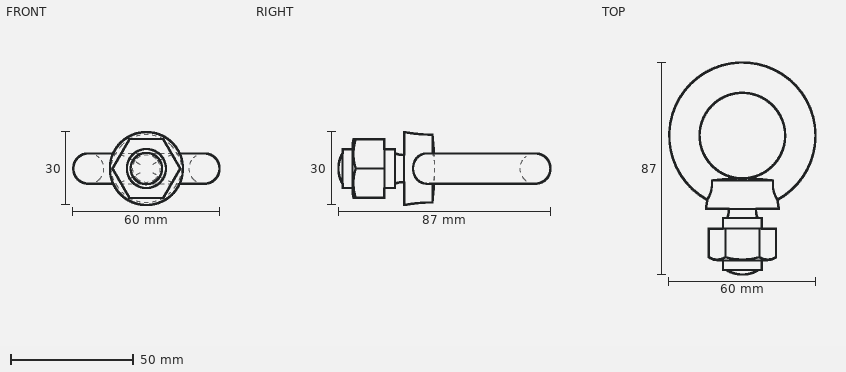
import cadquery as cq
import math


ring_outer_radius = 30.0
tube_radius = 6.3
ring_radius = ring_outer_radius - tube_radius

collar_base_y = -ring_outer_radius
collar_height = 11.7
collar_base_radius = 15.01
collar_top_radius = 13.9
collar_dome_height = 0.9

neck_radius = 5.65
neck_straight_length = 0.9
neck_flare_radius = 6.3
neck_length = 3.65

shank_radius = 8.0
tip_y = -57.0
tip_dome_radius = 6.4
tip_dome_height = 1.8

nut_across_flats = 24.0
nut_height = 13.0
nut_top_y = -38.1
nut_face_radius = 10.2
nut_round_end_radius = 12.5
nut_round_drop = 0.565


def cap_radius(half_chord, rise):
    """Radius of a circular arc that starts square to the axis and drops by rise over half_chord."""
    return (half_chord**2 + rise**2) / (2 * rise)


def cap_height(half_chord, rise, distance):
    """Height lost by that arc at the given distance from its flat end."""
    radius = cap_radius(half_chord, rise)
    return radius - math.sqrt(radius**2 - distance**2)


def revolve_about_y(profile):
    return profile.close().revolve(360, (0, 0, 0), (0, 1, 0))


def make_ring():
    return cq.Workplane(cq.Solid.makeTorus(ring_radius, tube_radius))


def make_collar():
    top_y = collar_base_y + collar_height
    flare = collar_base_radius - collar_top_radius
    side_mid = (
        collar_top_radius + cap_height(collar_height, flare, collar_height / 2),
        top_y - collar_height / 2,
    )
    dome_mid_x = collar_top_radius / 2
    dome_drop = cap_height(collar_top_radius, collar_dome_height, dome_mid_x)
    dome_top_y = top_y + collar_dome_height
    profile = (
        cq.Workplane("XY")
        .moveTo(0, collar_base_y)
        .lineTo(collar_base_radius, collar_base_y)
        .threePointArc(side_mid, (collar_top_radius, top_y))
        .threePointArc((dome_mid_x, dome_top_y - dome_drop), (0, dome_top_y))
    )
    return revolve_about_y(profile)


def make_shank():
    flare_start_y = collar_base_y - neck_straight_length
    shank_top_y = collar_base_y - neck_length
    flare_length = flare_start_y - shank_top_y
    flare_width = neck_flare_radius - neck_radius
    flare_mid = (
        neck_radius + cap_height(flare_length, flare_width, flare_length / 2),
        flare_start_y - flare_length / 2,
    )
    shank_end_y = tip_y + tip_dome_height
    tip_mid_x = tip_dome_radius / 2
    tip_rise = cap_height(tip_dome_radius, tip_dome_height, tip_mid_x)
    profile = (
        cq.Workplane("XY")
        .moveTo(0, collar_base_y)
        .lineTo(neck_radius, collar_base_y)
        .lineTo(neck_radius, flare_start_y)
        .threePointArc(flare_mid, (neck_flare_radius, shank_top_y))
        .lineTo(shank_radius, shank_top_y)
        .lineTo(shank_radius, shank_end_y)
        .lineTo(tip_dome_radius, shank_end_y)
        .threePointArc((tip_mid_x, tip_y + tip_rise), (0, tip_y))
    )
    return revolve_about_y(profile)


def make_nut():
    across_corners = nut_across_flats / math.cos(math.pi / 6)
    hexagon = (
        cq.Workplane("XZ", origin=(0, nut_top_y, 0))
        .polygon(6, across_corners)
        .extrude(nut_height)
    )

    face_y = nut_top_y - nut_height
    round_width = nut_round_end_radius - nut_face_radius
    round_mid = (
        nut_face_radius + round_width / 2,
        face_y + cap_height(round_width, nut_round_drop, round_width / 2),
    )
    cone_slope = math.tan(math.asin(round_width / cap_radius(round_width, nut_round_drop)))
    blank_radius = across_corners
    cone_end_y = face_y + nut_round_drop + (blank_radius - nut_round_end_radius) * cone_slope
    profile = (
        cq.Workplane("XY")
        .moveTo(0, nut_top_y)
        .lineTo(0, face_y)
        .lineTo(nut_face_radius, face_y)
        .threePointArc(round_mid, (nut_round_end_radius, face_y + nut_round_drop))
        .lineTo(blank_radius, cone_end_y)
        .lineTo(blank_radius, nut_top_y)
    )
    return hexagon.intersect(revolve_about_y(profile))


result = make_ring().union(make_collar()).union(make_shank()).union(make_nut())